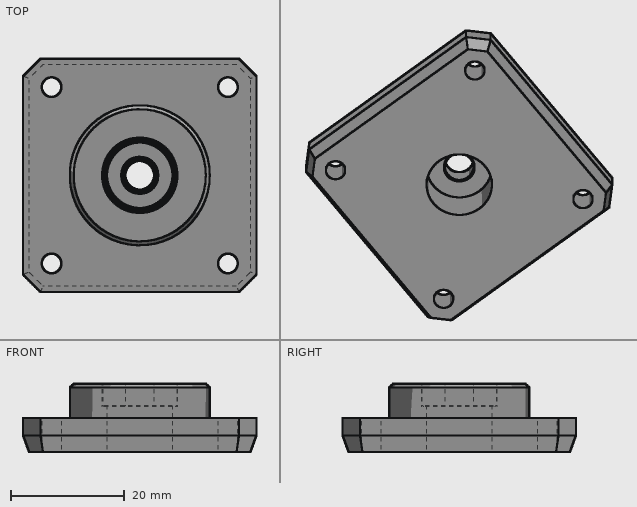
import cadquery as cq

flange_width = 41.0
corner_cut = 3.08
taper_height = 2.9
taper_angle = 20.0
flange_height = 6.0

boss_diameter = 24.6
boss_chamfer = 0.7
total_height = 12.0

mount_hole_diameter = 3.4
mount_hole_spacing = 30.95

bearing_diameter = 13.0
bearing_bore = 5.0
bearing_height = 4.0
shield_outer_diameter = 11.5
shield_inner_diameter = 6.5
bearing_chamfer = 0.2
shield_recess = bearing_chamfer

seat_clearance = 0.12
seat_diameter = bearing_diameter + 2 * seat_clearance
seat_floor = total_height - bearing_height
shoulder_hole_diameter = shield_outer_diameter


def make_flange():
    """Square plate whose lower part tapers inward on all eight sides."""
    outline = cq.Sketch().rect(flange_width, flange_width).vertices().chamfer(corner_cut)
    rim_plane = cq.Workplane("XY").workplane(offset=taper_height).placeSketch(outline)
    rim = rim_plane.extrude(flange_height - taper_height)
    tapered_base = rim_plane.extrude(-taper_height, taper=taper_angle)
    return rim.union(tapered_base)


def make_boss():
    """Cylinder on top of the flange with a chamfered upper edge."""
    boss = (
        cq.Workplane("XY")
        .workplane(offset=flange_height)
        .circle(boss_diameter / 2)
        .extrude(total_height - flange_height)
    )
    return boss.faces(">Z").edges().chamfer(boss_chamfer)


def make_mount_holes():
    """Four cylinders that cut the mounting holes."""
    return (
        cq.Workplane("XY")
        .rect(mount_hole_spacing, mount_hole_spacing, forConstruction=True)
        .vertices()
        .circle(mount_hole_diameter / 2)
        .extrude(flange_height)
    )


def make_bearing_cavity():
    """Stepped cylinder that cuts the bearing seat and the hole below its shoulder."""
    shoulder_hole = cq.Workplane("XY").circle(shoulder_hole_diameter / 2).extrude(seat_floor)
    seat = (
        cq.Workplane("XY")
        .workplane(offset=seat_floor)
        .circle(seat_diameter / 2)
        .extrude(bearing_height)
    )
    return shoulder_hole.union(seat)


def make_housing():
    """Flange and boss in one piece, with its holes."""
    body = make_flange().union(make_boss())
    return body.cut(make_mount_holes()).cut(make_bearing_cavity()).solids()


def make_bearing():
    """Revolved bearing with chamfered rings and a shallow shield recess on top."""
    outer_radius = bearing_diameter / 2
    bore_radius = bearing_bore / 2
    shield_outer = shield_outer_diameter / 2
    shield_inner = shield_inner_diameter / 2
    c = bearing_chamfer
    bottom = seat_floor
    top = total_height
    section = [
        (bore_radius + c, bottom),
        (bore_radius, bottom + c),
        (bore_radius, top - c),
        (bore_radius + c, top),
        (shield_inner - c, top),
        (shield_inner, top - shield_recess),
        (shield_outer, top - shield_recess),
        (shield_outer + c, top),
        (outer_radius - c, top),
        (outer_radius, top - c),
        (outer_radius, bottom + c),
        (outer_radius - c, bottom),
    ]
    return cq.Workplane("XZ").polyline(section).close().revolve(360, (0, 0, 0), (0, 1, 0))


housing = make_housing()
bearing = make_bearing()

result = cq.Compound.makeCompound([housing.val(), bearing.val()])